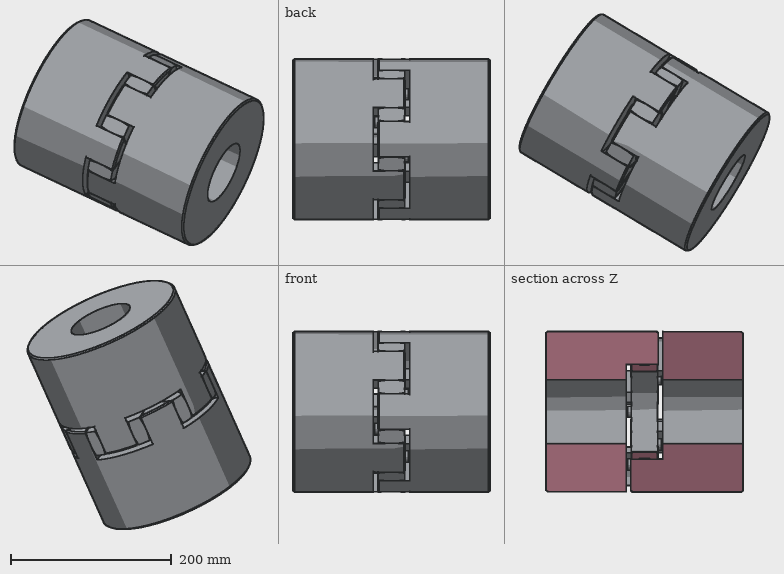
import cadquery as cq
import math

total_length = 245.0
outer_radius = 100.0
bore_radius = 39.7
hub_gap = 45.0
jaw_clearance = 5.5
edge_chamfer = 2.0

jaw_count = 5
jaw_inner_radius = 58.8
jaw_inner_half_width = 6.4
flank_radius = 56.4
flank_sweep = 60.0

insert_bore_radius = 50.0
insert_width = 32.8
crown_height = 1.5
button_radius = 7.0
button_circle_radius = 69.0
button_height = 4.7

root_x = hub_gap / 2
tip_x = root_x - jaw_clearance
insert_x = insert_width / 2
end_x = total_length / 2
jaw_pitch = 360.0 / jaw_count
leg_offset = jaw_pitch / 4
leg_count = 2 * jaw_count

flank_center_y = math.sqrt(jaw_inner_radius**2 - jaw_inner_half_width**2)
flank_center_z = jaw_inner_half_width + flank_radius


def axial_disc(radius, start_x, stop_x):
    """Solid cylinder on the coupling axis."""
    return cq.Workplane("YZ", origin=(start_x, 0, 0)).circle(radius).extrude(stop_x - start_x)


def turned(body, angle):
    """Copy of a body turned about the coupling axis."""
    return body.rotate((0, 0, 0), (1, 0, 0), angle)


def flank_point(sweep):
    """Point on the flank arc (Y, Z), at a sweep in degrees from its inner end."""
    angle = math.radians(sweep)
    return (
        flank_center_y + flank_radius * math.sin(angle),
        flank_center_z - flank_radius * math.cos(angle),
    )


def mirrored_point(point):
    """Point on the other flank of the same jaw."""
    return (point[0], -point[1])


def make_jaw_bar():
    """Bar with the section of the jaw along +Y, running on past the outer cylinder."""
    inner = flank_point(0)
    middle = flank_point(flank_sweep / 2)
    outer = flank_point(flank_sweep)
    return (
        cq.Workplane("YZ", origin=(-root_x, 0, 0))
        .moveTo(*inner)
        .threePointArc(middle, outer)
        .lineTo(*mirrored_point(outer))
        .threePointArc(mirrored_point(middle), mirrored_point(inner))
        .threePointArc((jaw_inner_radius, 0), inner)
        .close()
        .extrude(root_x + tip_x)
    )


def make_hub():
    """Left hub: a bored blank, chamfered at both ends, with everything between the jaws cut away."""
    blank = axial_disc(outer_radius, -end_x, tip_x).faces("<X or >X").edges().chamfer(edge_chamfer)
    waste = axial_disc(2 * outer_radius, -root_x, tip_x)
    jaw_bar = make_jaw_bar()
    for index in range(jaw_count):
        waste = waste.cut(turned(jaw_bar, index * jaw_pitch))
    bore = axial_disc(bore_radius, -end_x, -root_x)
    return blank.cut(waste).cut(bore)


def make_flank_barrel():
    """Barrel about the flank circle's centre, touching the jaw flank at mid-length."""
    end_radius = flank_radius - crown_height
    return (
        cq.Workplane("XY")
        .moveTo(-insert_x, 0)
        .lineTo(-insert_x, end_radius)
        .threePointArc((0, flank_radius), (insert_x, end_radius))
        .lineTo(insert_x, 0)
        .close()
        .revolve(360, (0, 0, 0), (1, 0, 0))
        .translate((0, flank_center_y, flank_center_z))
    )


def make_leg():
    """Insert leg between the jaw along +Y and the next one: the overlap of two flank barrels."""
    barrel = make_flank_barrel()
    mirrored_barrel = turned(barrel.mirror("XY"), 2 * leg_offset)
    return barrel.intersect(mirrored_barrel)


def make_button(angle, face_x, height):
    """Spacer button standing on an insert face; a negative height points toward -X."""
    button = (
        cq.Workplane("YZ", origin=(face_x, 0, 0))
        .center(button_circle_radius, 0)
        .circle(button_radius)
        .extrude(height)
    )
    return turned(button, angle)


def make_insert():
    """Ring with crowned legs, and buttons on alternate legs of each face."""
    insert = axial_disc(jaw_inner_radius, -insert_x, insert_x)
    leg = make_leg()
    for index in range(leg_count):
        insert = insert.union(turned(leg, index * 360.0 / leg_count))
    insert = insert.intersect(axial_disc(outer_radius, -insert_x, insert_x))
    insert = insert.cut(axial_disc(insert_bore_radius, -insert_x, insert_x))
    for index in range(jaw_count):
        turn = index * jaw_pitch
        insert = insert.union(make_button(turn - leg_offset, -insert_x, -button_height))
        insert = insert.union(make_button(turn + leg_offset, insert_x, button_height))
    return insert


hub = make_hub()
hubs = []
for turn in (0, 180):
    hubs.append(hub.rotate((0, 0, 0), (0, 0, 1), turn).solids().val())

insert = make_insert().solids().val()

result = cq.Compound.makeCompound([*hubs, insert])